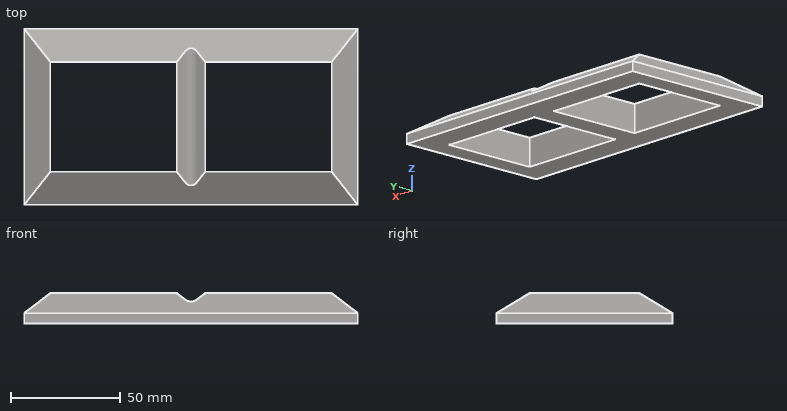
import cadquery as cq
import math

length = 152.5
width = 80.5
height = 14.0
rim_height = 4.9

window_length = 57.6
window_width = 50.0
bar_width = 13.1
windows_length = 2 * window_length + bar_width

groove_depth = 3.8
flank_angle = math.radians(37)


def frame_body():
    """Rectangular rim with flat slopes rising to the edges of the windows."""
    rim = cq.Workplane("XY").box(length, width, rim_height, centered=(True, True, False))
    slopes = (
        cq.Workplane("XY", origin=(0, 0, rim_height))
        .rect(length, width)
        .workplane(offset=height - rim_height)
        .rect(windows_length, window_width)
        .loft(ruled=True)
    )
    return rim.union(slopes)


def windows():
    """Pair of rectangular through openings."""
    spacing = window_length + bar_width
    return (
        cq.Workplane("XY")
        .rarray(spacing, 1.5, 2, 1)
        .rect(window_length, window_width)
        .extrude(height)
    )


def groove():
    """Cutter with straight flanks from the bar's top edges and a tangent round bottom."""
    half_bar = bar_width / 2
    sharp_depth = half_bar * math.tan(flank_angle)
    radius = (sharp_depth - groove_depth) / (1 / math.cos(flank_angle) - 1)
    bottom = height - groove_depth
    tangent_x = radius * math.sin(flank_angle)
    tangent_z = bottom + radius * (1 - math.cos(flank_angle))
    return (
        cq.Workplane("XZ")
        .moveTo(-half_bar, height)
        .lineTo(-tangent_x, tangent_z)
        .threePointArc((0, bottom), (tangent_x, tangent_z))
        .lineTo(half_bar, height)
        .close()
        .extrude(width / 2, both=True)
    )


result = frame_body().cut(windows()).cut(groove())